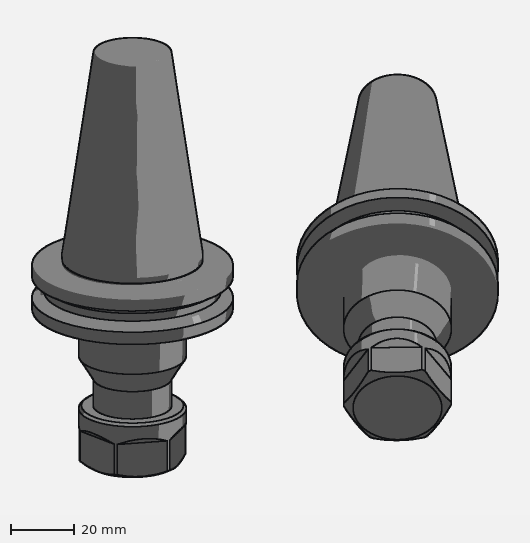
import cadquery as cq
import math

TAPER_LENGTH = 68.25
TAPER_RATIO = 7 / 24
GAUGE_RADIUS = 44.45 / 2
TAPER_TIP_FILLET = 1.0
TOTAL_LENGTH = 138.25

COLLAR_BOTTOM = -2.0
RELIEF_RADIUS = 21.9
RELIEF_FILLET = 0.8

FLANGE_TOP = -3.2
FLANGE_RADIUS = 63.5 / 2
FLANGE_THICKNESS = 15.9
FLANGE_FILLET = 0.8
GROOVE_RADIUS = 56 / 2
GROOVE_BOTTOM_WIDTH = 2.6
GROOVE_FLANK_ANGLE = 30
GROOVE_CENTRE = -11.1
GROOVE_BEVEL_WIDTH = 1.0
GROOVE_BEVEL_HEIGHT = 0.75

BODY_RADIUS = 17.0
BODY_FILLET = 2.0
NECK_RADIUS = 12.4
NECK_HEIGHT = 9.2
NECK_CONE_HEIGHT = 7.5

NUT_RADIUS = 17.0
NUT_HEIGHT = 19.0
NUT_TOP_CHAMFER = 0.9
NUT_END_RADIUS = 14.0
NUT_END_ANGLE = 30
HEX_ACROSS_FLATS = 30.0
HEX_SIDES = 6
HEX_HEIGHT = 11.9

RIM_MARGIN = 0.1
CUT_CLEARANCE = 1.0

bottom = TAPER_LENGTH - TOTAL_LENGTH
nut_top = bottom + NUT_HEIGHT
flange_bottom = FLANGE_TOP - FLANGE_THICKNESS


def round_rim(body, height, fillet):
    """Fillet the largest circular edge lying at the given height."""
    low_corner = (-RIM_MARGIN, -RIM_MARGIN, height - RIM_MARGIN)
    high_corner = (RIM_MARGIN, RIM_MARGIN, height + RIM_MARGIN)
    centred_here = cq.selectors.BoxSelector(low_corner, high_corner)
    largest = cq.selectors.RadiusNthSelector(-1)
    return body.edges(centred_here).edges(largest).fillet(fillet)


def make_shank():
    """Taper, flange, body and neck as one revolved profile."""
    tip_radius = GAUGE_RADIUS - TAPER_LENGTH * TAPER_RATIO / 2
    flank_slope = math.tan(math.radians(GROOVE_FLANK_ANGLE))
    groove_top = GROOVE_CENTRE + GROOVE_BOTTOM_WIDTH / 2
    groove_bottom = GROOVE_CENTRE - GROOVE_BOTTOM_WIDTH / 2
    upper_mouth = groove_top + (FLANGE_RADIUS - GROOVE_RADIUS) * flank_slope
    bevel_radius = GROOVE_RADIUS + GROOVE_BEVEL_WIDTH
    bevel_bottom = groove_bottom - GROOVE_BEVEL_HEIGHT
    lower_mouth = bevel_bottom - (FLANGE_RADIUS - bevel_radius) * flank_slope
    cone_bottom = nut_top + NECK_HEIGHT
    fillet_sag = 1 - math.sqrt(0.5)

    profile = (
        cq.Workplane("XZ")
        .moveTo(0, nut_top)
        .lineTo(NECK_RADIUS, nut_top)
        .lineTo(NECK_RADIUS, cone_bottom)
        .lineTo(BODY_RADIUS, cone_bottom + NECK_CONE_HEIGHT)
        .lineTo(BODY_RADIUS, flange_bottom - BODY_FILLET)
        .threePointArc(
            (BODY_RADIUS + BODY_FILLET * fillet_sag, flange_bottom - BODY_FILLET * fillet_sag),
            (BODY_RADIUS + BODY_FILLET, flange_bottom),
        )
        .lineTo(FLANGE_RADIUS, flange_bottom)
        .lineTo(FLANGE_RADIUS, lower_mouth)
        .lineTo(bevel_radius, bevel_bottom)
        .lineTo(GROOVE_RADIUS, groove_bottom)
        .lineTo(GROOVE_RADIUS, groove_top)
        .lineTo(FLANGE_RADIUS, upper_mouth)
        .lineTo(FLANGE_RADIUS, FLANGE_TOP)
        .lineTo(RELIEF_RADIUS + RELIEF_FILLET, FLANGE_TOP)
        .threePointArc(
            (RELIEF_RADIUS + RELIEF_FILLET * fillet_sag, FLANGE_TOP + RELIEF_FILLET * fillet_sag),
            (RELIEF_RADIUS, FLANGE_TOP + RELIEF_FILLET),
        )
        .lineTo(RELIEF_RADIUS, COLLAR_BOTTOM)
        .lineTo(GAUGE_RADIUS, COLLAR_BOTTOM)
        .lineTo(GAUGE_RADIUS, 0)
        .lineTo(tip_radius, TAPER_LENGTH)
        .lineTo(0, TAPER_LENGTH)
        .close()
    )
    shank = profile.revolve(360, (0, 0, 0), (0, 1, 0))
    shank = round_rim(shank, TAPER_LENGTH, TAPER_TIP_FILLET)
    shank = round_rim(shank, FLANGE_TOP, FLANGE_FILLET)
    return round_rim(shank, flange_bottom, FLANGE_FILLET)


def make_nut():
    """Round nut with six wrench flats that run out at 45 degrees below its round top."""
    end_cone_height = (NUT_RADIUS - NUT_END_RADIUS) * math.tan(math.radians(NUT_END_ANGLE))
    nut = (
        cq.Workplane("XZ")
        .moveTo(0, bottom)
        .lineTo(NUT_END_RADIUS, bottom)
        .lineTo(NUT_RADIUS, bottom + end_cone_height)
        .lineTo(NUT_RADIUS, nut_top - NUT_TOP_CHAMFER)
        .lineTo(NUT_RADIUS - NUT_TOP_CHAMFER, nut_top)
        .lineTo(0, nut_top)
        .close()
        .revolve(360, (0, 0, 0), (0, 1, 0))
    )

    apothem = HEX_ACROSS_FLATS / 2
    cut_reach = NUT_RADIUS + CUT_CLEARANCE
    flat_top = bottom + HEX_HEIGHT
    flat_cutter = (
        cq.Workplane("YZ")
        .moveTo(apothem, bottom)
        .lineTo(cut_reach, bottom)
        .lineTo(cut_reach, flat_top + cut_reach - apothem)
        .lineTo(apothem, flat_top)
        .close()
        .extrude(NUT_RADIUS, both=True)
    )
    for side in range(HEX_SIDES):
        nut = nut.cut(flat_cutter.rotate((0, 0, 0), (0, 0, 1), side * 360 / HEX_SIDES))
    return nut


result = make_shank().union(make_nut())